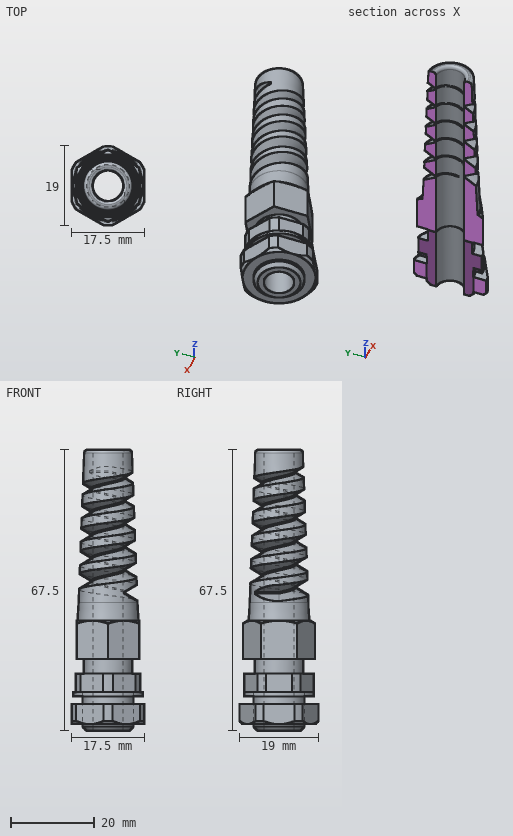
import cadquery as cq
import math

bore_diameter = 7.3
thread_diameter = 12.3

lock_nut_bottom = 1.6
lock_nut_top = 6.5
lock_nut_flats = 17.5
lock_nut_corner_diameter = 19.0

thread_chamfer = 1.0
gasket_bottom = 8.3
collar_bottom = 9.3
collar_top = 13.75
collar_flats = 15.5
collar_corner_diameter = 16.7
neck_diameter = 11.75

gasket_diameter = collar_corner_diameter

cap_bottom = 17.2
cap_hex_top = 26.45
cap_flats = 15.05
cap_chamfer_angle = math.radians(30)
sleeve_base_radius = 7.35
sleeve_bend_z = 30.8
sleeve_bend_radius = 7.1
sleeve_top = 67.45
sleeve_top_radius = 5.7
mouth_round = 0.9

groove_root_radius = 7.8 / 2
groove_root_width = 0.35
groove_flank_angle = math.radians(30)
groove_start_z = 33.1
groove_pitch = 5.5
groove_turns = 5.25
groove_reach = 7.75


def cylinder(diameter, bottom, top):
    return cq.Workplane("XY").workplane(offset=bottom).circle(diameter / 2).extrude(top - bottom)


def hexagon(flats, bottom, top):
    """Hexagonal prism with two flats facing +X and -X."""
    across_corners = flats / math.cos(math.pi / 6)
    prism = cq.Workplane("XY").workplane(offset=bottom).polygon(6, across_corners).extrude(top - bottom)
    return prism.rotate((0, 0, 0), (0, 0, 1), 30)


def make_lock_nut():
    corner_radius = lock_nut_corner_diameter / 2
    chamfer = corner_radius - lock_nut_flats / 2
    turned_blank = cylinder(lock_nut_corner_diameter, lock_nut_bottom, lock_nut_top).faces("<Z").chamfer(chamfer)
    nut = hexagon(lock_nut_flats, lock_nut_bottom, lock_nut_top).intersect(turned_blank)
    return nut.cut(cylinder(thread_diameter, lock_nut_bottom, lock_nut_top))


def make_gasket():
    ring = cylinder(gasket_diameter, gasket_bottom, collar_bottom)
    return ring.cut(cylinder(thread_diameter, gasket_bottom, collar_bottom))


def make_gland_body():
    thread = cylinder(thread_diameter, 0, collar_bottom).faces("<Z").chamfer(thread_chamfer)
    turned_blank = cylinder(collar_corner_diameter, collar_bottom, collar_top)
    collar = hexagon(collar_flats, collar_bottom, collar_top).intersect(turned_blank)
    neck = cylinder(neck_diameter, collar_top, cap_bottom)
    return thread.union(collar).union(neck).cut(cylinder(bore_diameter, 0, cap_bottom))


def make_cap_hexagon():
    """Hexagon whose upper corners are cut by a cone that just touches the flats at the top."""
    top_radius = cap_flats / 2
    corner_radius = top_radius / math.cos(math.pi / 6)
    cone_height = (corner_radius - top_radius) * math.tan(cap_chamfer_angle)
    turned_blank = (
        cq.Workplane("XZ")
        .moveTo(0, cap_bottom)
        .lineTo(corner_radius, cap_bottom)
        .lineTo(corner_radius, cap_hex_top - cone_height)
        .lineTo(top_radius, cap_hex_top)
        .lineTo(0, cap_hex_top)
        .close()
        .revolve(360, (0, 0, 0), (0, 1, 0))
    )
    return hexagon(cap_flats, cap_bottom, cap_hex_top).intersect(turned_blank)


def make_sleeve():
    """Tapered sleeve, still solid, above the hexagon."""
    return (
        cq.Workplane("XZ")
        .moveTo(0, cap_hex_top)
        .lineTo(sleeve_base_radius, cap_hex_top)
        .lineTo(sleeve_bend_radius, sleeve_bend_z)
        .lineTo(sleeve_top_radius, sleeve_top)
        .lineTo(0, sleeve_top)
        .close()
        .revolve(360, (0, 0, 0), (0, 1, 0))
    )


def groove_profile(z):
    """V profile in the XZ half-plane at +X, centred at height z."""
    root_half = groove_root_width / 2
    outer_half = root_half + (groove_reach - groove_root_radius) * math.tan(groove_flank_angle)
    return (
        cq.Workplane("XZ")
        .moveTo(groove_root_radius, z - root_half)
        .lineTo(groove_reach, z - outer_half)
        .lineTo(groove_reach, z + outer_half)
        .lineTo(groove_root_radius, z + root_half)
        .close()
    )


def cut_spiral_groove(sleeve):
    """Cut the spiral and the level, straight run-out at each of its ends."""
    rise = groove_pitch * groove_turns
    path = cq.Wire.makeHelix(groove_pitch, rise, groove_root_radius, cq.Vector(0, 0, groove_start_z))
    spiral = groove_profile(groove_start_z).sweep(path, isFrenet=True)
    lower_run_out = groove_profile(groove_start_z).extrude(groove_reach)
    upper_run_out = groove_profile(groove_start_z + rise).extrude(-groove_reach)
    upper_run_out = upper_run_out.rotate((0, 0, 0), (0, 0, 1), 360 * groove_turns)
    return sleeve.cut(spiral).cut(lower_run_out).cut(upper_run_out)


def make_cap():
    cap = make_cap_hexagon().union(make_sleeve())
    cap = cap.cut(cylinder(bore_diameter, cap_bottom, sleeve_top))
    cap = cap.faces(">Z").edges().fillet(mouth_round)
    return cut_spiral_groove(cap)


lock_nut = make_lock_nut()
gasket = make_gasket()
gland_body = make_gland_body()
cap = make_cap()

result = cq.Compound.makeCompound([lock_nut.val(), gasket.val(), gland_body.val(), cap.val()])